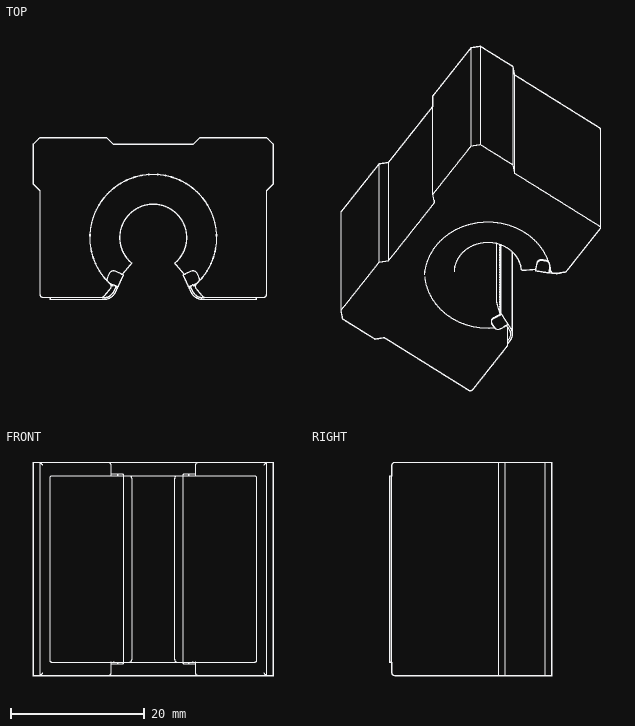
import cadquery as cq
import math

WIDTH = 36.0
LENGTH = 32.0
BACK = 15.0
FRONT = 9.0
SIDE_STEP = 1.0
SHOULDER_DEPTH = 7.0
CORNER_CHAMFER = 1.0
NOTCH_WIDTH = 14.0
NOTCH_DEPTH = 1.0
BORE_RADIUS = 9.5
HALF_OPENING = 40.0
EDGE_ROUND = 0.5

BUSHING_BORE_RADIUS = 5.0
BUSHING_RECESS = 2.0
BUSHING_LENGTH = LENGTH - 2 * BUSHING_RECESS

STRIP_THICKNESS = 0.3
STRIP_MARGIN = 1.5
STRIP_CORNER = 0.3
BEND_START = 7.4
BEND_RADIUS = 1.95
BEND_ANGLE = 65.0
LIP_LENGTH = 2.85

CAP_SIZE = 2.0
CAP_HEIGHT = 0.3
CAP_ROUND = 0.25
CAP_CORNER = 0.7

HALF_WIDTH = WIDTH / 2
FRONT_HALF_WIDTH = HALF_WIDTH - SIDE_STEP
REACH = 2 * FRONT


def offset(point, along, distance):
    """Point moved by a distance along a unit direction."""
    return (point[0] + distance * along[0], point[1] + distance * along[1])


bend = math.radians(BEND_ANGLE)
LIP_ALONG = (-math.cos(bend), math.sin(bend))
LIP_INTO = (math.sin(bend), math.cos(bend))
BEND_CENTRE = (BEND_START, -FRONT - STRIP_THICKNESS + BEND_RADIUS)
LIP_START = offset(BEND_CENTRE, LIP_INTO, -BEND_RADIUS)
LIP_END = offset(LIP_START, LIP_ALONG, LIP_LENGTH)


def prism(corners, length):
    """Polygon extruded symmetrically about the XY plane."""
    return cq.Workplane("XY").polyline(corners).close().extrude(length / 2, both=True)


def mirrored(body, side):
    """The body on the +X side, or its mirror image for side -1."""
    return body if side > 0 else body.mirror("YZ")


def opening_wedge():
    """Wedge along the bore axis that opens the bore toward the front."""
    half_mouth = REACH * math.tan(math.radians(HALF_OPENING))
    return prism([(0, 0), (half_mouth, -REACH), (-half_mouth, -REACH)], LENGTH)


def make_housing():
    shoulder = BACK - SHOULDER_DEPTH
    half_notch = NOTCH_WIDTH / 2
    right = [
        (half_notch - NOTCH_DEPTH, BACK - NOTCH_DEPTH),
        (half_notch, BACK),
        (HALF_WIDTH - CORNER_CHAMFER, BACK),
        (HALF_WIDTH, BACK - CORNER_CHAMFER),
        (HALF_WIDTH, shoulder),
        (FRONT_HALF_WIDTH, shoulder - SIDE_STEP),
        (FRONT_HALF_WIDTH, -FRONT),
    ]
    left = [(-x, y) for x, y in reversed(right)]
    bore = cq.Workplane("XY").circle(BORE_RADIUS).extrude(LENGTH / 2, both=True)
    housing = prism(right + left, LENGTH).cut(bore).cut(opening_wedge())
    around_bore = cq.selectors.BoxSelector(
        (-BORE_RADIUS, -REACH, -LENGTH), (BORE_RADIUS, BORE_RADIUS, LENGTH)
    )
    front_edges = housing.faces("<Y").edges()
    return front_edges.add(housing.edges(around_bore)).fillet(EDGE_ROUND)


def make_bushing(strips):
    bushing = (
        cq.Workplane("XY")
        .circle(BORE_RADIUS)
        .circle(BUSHING_BORE_RADIUS)
        .extrude(BUSHING_LENGTH / 2, both=True)
        .faces("|Z")
        .edges()
        .fillet(EDGE_ROUND)
    )
    bushing = bushing.cut(opening_wedge())
    for strip in strips:
        bushing = bushing.cut(strip)
    return bushing


def make_strip(side):
    plate_end = FRONT_HALF_WIDTH - STRIP_MARGIN
    inner_radius = BEND_RADIUS - STRIP_THICKNESS
    mid_bend = (math.sin(bend / 2), math.cos(bend / 2))
    strip = (
        cq.Workplane("XY")
        .moveTo(plate_end, -FRONT - STRIP_THICKNESS)
        .lineTo(BEND_START, -FRONT - STRIP_THICKNESS)
        .threePointArc(offset(BEND_CENTRE, mid_bend, -BEND_RADIUS), LIP_START)
        .lineTo(*LIP_END)
        .lineTo(*offset(LIP_END, LIP_INTO, STRIP_THICKNESS))
        .lineTo(*offset(LIP_START, LIP_INTO, STRIP_THICKNESS))
        .threePointArc(offset(BEND_CENTRE, mid_bend, -inner_radius), (BEND_START, -FRONT))
        .lineTo(plate_end, -FRONT)
        .close()
        .extrude(BUSHING_LENGTH / 2, both=True)
        .edges("|Y and >X")
        .fillet(STRIP_CORNER)
    )
    return mirrored(strip, side)


def make_cap(side, end):
    far = offset(LIP_END, LIP_INTO, CAP_SIZE)
    outline = [
        LIP_END,
        far,
        offset(far, LIP_ALONG, -CAP_SIZE),
        offset(LIP_END, LIP_ALONG, -CAP_SIZE),
    ]
    away = cq.Vector(*LIP_INTO, 0)
    cap = cq.Workplane("XY").polyline(outline).close().extrude(CAP_HEIGHT)
    cap = cap.edges("|Z").edges(cq.selectors.DirectionMinMaxSelector(away, True)).fillet(CAP_CORNER)
    open_edge = cap.faces(">Z").edges(cq.selectors.DirectionMinMaxSelector(away, False))
    cap = open_edge.fillet(CAP_ROUND).translate((0, 0, BUSHING_LENGTH / 2))
    return mirrored(cap if end > 0 else cap.mirror("XY"), side)


housing = make_housing()
strips = [make_strip(side) for side in (1, -1)]
bushing = make_bushing(strips)
caps = [make_cap(side, end) for side in (1, -1) for end in (1, -1)]

bodies = [housing, bushing, *strips, *caps]
result = cq.Compound.makeCompound([body.val() for body in bodies])